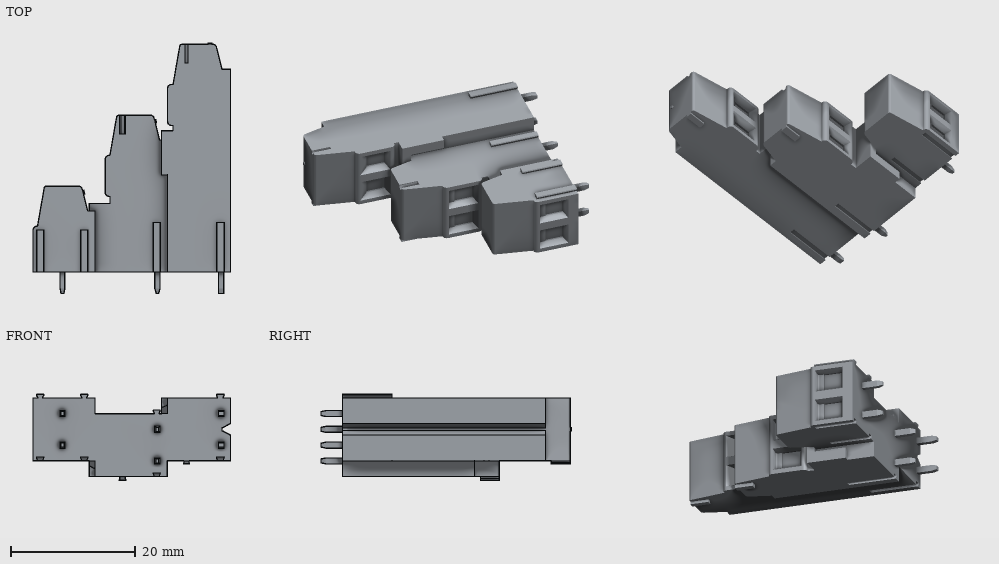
import cadquery as cq
import math


contact_pitch = 5.08
level_shift = contact_pitch / 2
level_depth = 2 * contact_pitch
level_rise = 11.4
low_top = 13.85
low_right = 10.0
middle_right = 21.65
high_right = 31.8

head_height = 6.45
head_left_run = 1.13
head_right_drop = 4.0
head_right_run = 1.0
head_left_radius = 0.4
head_right_radius = 0.6
face_radius = 0.7
face_height = 6.65

low = dict(face=0, inset=0.73, shoulder=1.15, right=low_right, top=low_top,
           bottom=0, left=0, ledge=None)
middle = dict(face=11.6, inset=0.75, shoulder=1.25, right=middle_right, top=low_top + level_rise,
              bottom=-level_shift, left=low_right, ledge=11.1)
high = dict(face=middle_right, inset=0.9, shoulder=1.37, right=high_right,
            top=low_top + 2 * level_rise, bottom=0, left=middle_right, ledge=22.75)

ledge_width = 0.95

pocket_height = 3.65
pocket_bevel = 0.52
pocket_depth = 0.95
slanted_pocket_depth = 1.13
pocket_wall_lean = 0.15
pocket_foot_radius = 0.35
pocket_step_inset = 1.25
slanted_step_inset = 1.45
pocket_step_depth = 0.32

pin_length = 3.43
pin_tip_length = 0.8
pin_thickness = 1.0
pin_tip_thickness = 0.65

tongue_height = 0.6
tongue_widest_height = 0.45
tongue_edge = 0.1

head_rail_length = 3.05
slot_lip = 0.15

pip_radius = 0.302
pip_height = 0.2
pip_root = 0.3
flank_pip_drop = 1.0
top_pip_x = 28.5

notch_depth = 1.37
notch_mouth = 1.85
notch_tip = 0.4


def rounded_outline(corners):
    """Closed XY outline from (x, y, radius) corners, with tangent arcs where radius > 0."""
    outline = None
    for i, (x, y, radius) in enumerate(corners):
        before = corners[i - 1]
        after = corners[(i + 1) % len(corners)]
        corner = cq.Vector(x, y)
        to_before = (cq.Vector(before[0], before[1]) - corner).normalized()
        to_after = (cq.Vector(after[0], after[1]) - corner).normalized()
        half_angle = to_before.getAngle(to_after) / 2
        reach = radius / math.tan(half_angle)
        start = corner + to_before * reach
        if outline is None:
            outline = cq.Workplane().moveTo(start.x, start.y)
        else:
            outline = outline.lineTo(start.x, start.y)
        if radius > 0:
            bisector = (to_before + to_after).normalized()
            apex = corner + bisector * (radius / math.sin(half_angle) - radius)
            end = corner + to_after * reach
            outline = outline.threePointArc((apex.x, apex.y), (end.x, end.y))
    return outline.close()


def box(x_range, y_range, z_range):
    sizes = [high_end - low_end for low_end, high_end in (x_range, y_range, z_range)]
    corner = (x_range[0], y_range[0], z_range[0])
    return cq.Workplane().box(*sizes, centered=False).translate(corner)


def shoulder_height(level):
    return level["top"] - head_right_drop


def level_body(level):
    foot_y = level["top"] - head_height
    foot_left = level["face"] + level["inset"]
    foot_right = level["right"] - level["shoulder"]
    shoulder_y = shoulder_height(level)
    corners = [
        (level["right"], 0, 0),
        (level["right"], shoulder_y, 0),
        (foot_right, shoulder_y, 0),
        (foot_right - head_right_run, level["top"], head_right_radius),
        (foot_left + head_left_run, level["top"], head_left_radius),
        (foot_left, foot_y, 0),
        (level["face"], foot_y, face_radius),
    ]
    if level["ledge"]:
        corners += [
            (level["face"], foot_y - face_height, face_radius),
            (foot_left, foot_y - face_height, 0),
            (foot_left, level["ledge"], 0),
            (level["left"], level["ledge"], 0),
        ]
    corners.append((level["left"], 0, 0))
    return rounded_outline(corners).extrude(level_depth).translate((0, 0, level["bottom"]))


def ledge(level, short_y, long_y, outer_z, z_at_tip, z_at_root):
    """Overhang left of a level. It reaches down to short_y everywhere and, on the side
    of a slanted parting plane towards outer_z, further down to long_y."""
    tip = level["left"] - ledge_width
    root = level["left"]
    plate = box((tip, root), (short_y, level["ledge"]), (level["bottom"], level["bottom"] + level_depth))
    skirt = (
        cq.Workplane("XZ", origin=(0, long_y, 0))
        .polyline([(tip, outer_z), (root, outer_z), (root, z_at_root), (tip, z_at_tip)])
        .close()
        .extrude(-(level["ledge"] - long_y))
    )
    return plate.union(skirt)


def contact_heights(level):
    """Z of the two contacts of a level."""
    first = level["bottom"] + contact_pitch / 2
    return [first, first + contact_pitch]


def wire_pocket(level, y_low, y_high, z_mid, slanted):
    """Wire entry cut into the wire face, with bevelled sides and a deeper step in its floor.
    Its upper end is a slanted plane or else a straight wall with a rounded foot."""
    face = level["face"]
    floor = face + (slanted_pocket_depth if slanted else pocket_depth)
    step_y = y_high - (slanted_step_inset if slanted else pocket_step_inset)
    side = cq.Workplane().moveTo(face, y_high).lineTo(face, y_low).lineTo(floor, y_low + pocket_bevel)
    if slanted:
        side = side.lineTo(floor, step_y)
    else:
        wall_end_y = y_high - pocket_wall_lean
        side = side.lineTo(floor, wall_end_y - pocket_foot_radius)
        side = side.radiusArc((floor - pocket_foot_radius, wall_end_y), -pocket_foot_radius)
    side = side.close().extrude(pocket_height).translate((0, 0, z_mid - pocket_height / 2))
    mouth_half = pocket_height / 2
    floor_half = mouth_half - pocket_bevel
    plan = (
        cq.Workplane("XZ", origin=(0, y_low, 0))
        .polyline([(face, z_mid - mouth_half), (floor, z_mid - floor_half),
                   (floor, z_mid + floor_half), (face, z_mid + mouth_half)])
        .close()
        .extrude(y_low - y_high)
    )
    step = box((floor, floor + pocket_step_depth), (y_low + pocket_bevel, step_y),
               (z_mid - floor_half, z_mid + floor_half))
    return side.intersect(plan).union(step)


def pin(x, z, width, tip_width):
    shank = (
        cq.Workplane("XZ", origin=(x, 0, z))
        .rect(width, pin_thickness)
        .extrude(pin_length - pin_tip_length)
    )
    tip = (
        cq.Workplane("XZ", origin=(x, pin_tip_length - pin_length, z))
        .rect(width, pin_thickness)
        .workplane(offset=pin_tip_length)
        .rect(tip_width, pin_tip_thickness)
        .loft()
    )
    return shank.union(tip)


def rail(x, z, half_outline, y_start, y_end):
    """Bar along Y with a mirrored XZ section given as (half width, height above z) points."""
    right_side = [(x + half, z + height) for half, height in half_outline]
    left_side = [(x - half, z + height) for half, height in reversed(half_outline)]
    return (
        cq.Workplane("XZ", origin=(0, y_start, 0))
        .polyline(right_side + left_side)
        .close()
        .extrude(y_start - y_end)
    )


def pip(level, x, y, direction):
    """Small round peg standing on the head surface at (x, y), half way through the level."""
    axis = cq.Vector(*direction).normalized()
    start = cq.Vector(x, y, level["bottom"] + level_depth / 2) - axis * pip_root
    return cq.Workplane(cq.Solid.makeCylinder(pip_radius, pip_root + pip_height, start, axis))


body = level_body(low).union(level_body(middle)).union(level_body(high))
middle_ledge = ledge(middle, short_y=shoulder_height(low), long_y=4.5,
                     outer_z=middle["bottom"], z_at_tip=-0.73, z_at_root=-1.3)
high_ledge = ledge(high, short_y=shoulder_height(middle), long_y=15.68,
                   outer_z=level_depth, z_at_tip=8.55, z_at_root=9.0)
body = body.union(middle_ledge).union(high_ledge)

wire_pockets = [
    (low, 1.7, 6.5, False),
    (middle, 12.98, 17.95, False),
    (high, 24.45, 29.6, True),
]
for level, y_low, y_high, slanted in wire_pockets:
    for z_mid in contact_heights(level):
        body = body.cut(wire_pocket(level, y_low, y_high, z_mid, slanted))

pins = [
    (low, 4.75, 0.8, 0.5),
    (middle, 20.03, 0.9, 0.4),
    (high, 30.25, 0.9, 0.9),
]
for level, pin_x, pin_width, tip_width in pins:
    for z_mid in contact_heights(level):
        body = body.union(pin(pin_x, z_mid, pin_width, tip_width))

lower_rails = [
    (low, 1.15, 1.25, 0.75, 6.8),
    (low, 8.25, 1.25, 0.75, 6.8),
    (middle, 19.9, 1.15, 0.75, 8.0),
    (high, 30.15, 1.3, 0.9, 8.0),
]
for level, rail_x, width, neck, length in lower_rails:
    tongue_section = [(neck / 2, 0), (width / 2, tongue_widest_height),
                      (width / 2 - tongue_edge, tongue_height)]
    groove_section = [(neck / 2, 0), (width / 2, tongue_height)]
    body = body.cut(rail(rail_x, level["bottom"], groove_section, 0, length))
    body = body.union(rail(rail_x, level["bottom"] + level_depth, tongue_section, 0, length))

head_rails = [
    (middle, 14.43, 1.15, 0.93, 0.6, 0.93, 0.55, 0.6),
    (high, 24.7, 1.0, 0.8, 0.5, 0.52, 0.4, 0.5),
]
for level, rail_x, width, neck, height, mouth, floor, depth in head_rails:
    tongue_section = [(neck / 2, 0), (neck / 2, -height / 2), (width / 2, -height)]
    slot_section = [(mouth / 2, 0), (mouth / 2, -slot_lip), (floor / 2, -depth)]
    y_start = level["top"] - head_rail_length
    body = body.union(rail(rail_x, level["bottom"], tongue_section, y_start, level["top"]))
    body = body.cut(rail(rail_x, level["bottom"] + level_depth, slot_section, y_start, level["top"]))

for level in [low, middle]:
    flank_top_x = level["right"] - level["shoulder"] - head_right_run
    pip_x = flank_top_x + head_right_run * flank_pip_drop / head_right_drop
    pip_y = level["top"] - flank_pip_drop
    body = body.union(pip(level, pip_x, pip_y, (head_right_drop, head_right_run, 0)))
body = body.union(pip(high, top_pip_x, high["top"], (0, 1, 0)))

notch_z = level_depth / 2
notch = (
    cq.Workplane("XZ")
    .polyline([(high_right, notch_z - notch_mouth / 2), (high_right - notch_depth, notch_z - notch_tip / 2),
               (high_right - notch_depth, notch_z + notch_tip / 2), (high_right, notch_z + notch_mouth / 2)])
    .close()
    .extrude(-high["top"])
)
result = body.cut(notch)